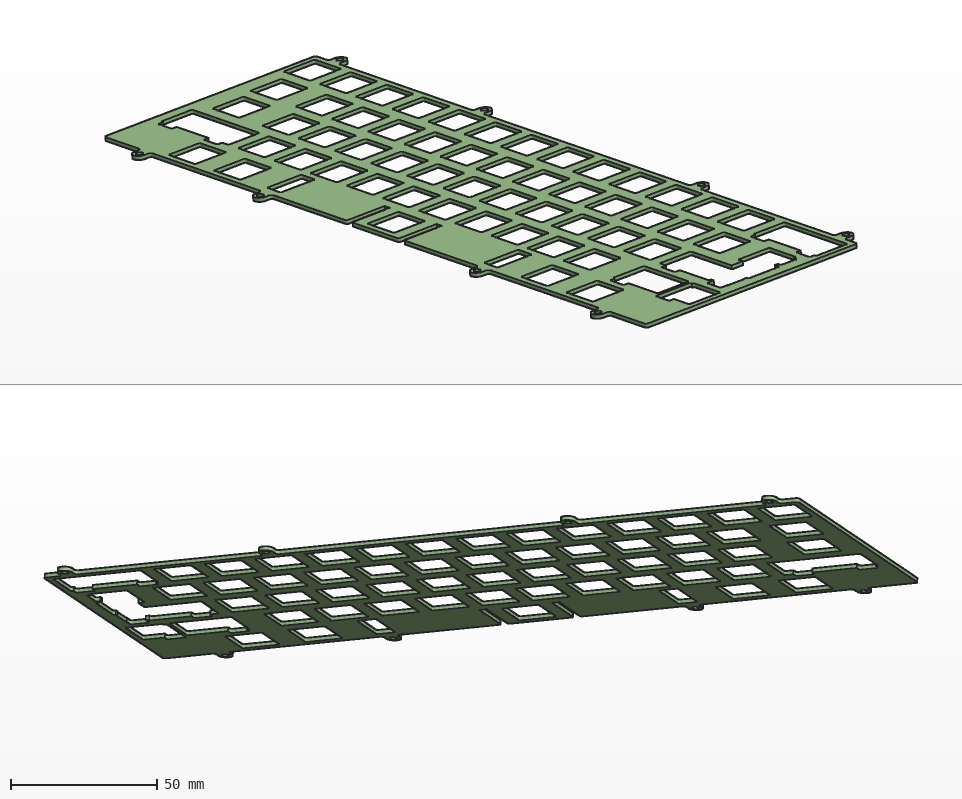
import cadquery as cq

plate_length = 285.8
columns = 15
rows = 5
key_unit = plate_length / columns
plate_width = rows * key_unit
plate_thickness = 1.5
plate_corner_radius = 1.0
tilt_angle = 6.0

switch_side = 14.0
cut_corner_radius = 0.5

stabilizer_width = 7.1
stabilizer_depth = 15.5
stabilizer_shift = 1.5
stabilizer_spacing = 12.0
spacebar_spacing = 3 * key_unit

slot_width = 2.5
slot_offset = 13.7
slot_depth = 17.1
slot_mouth_radius = 1.0

tab_radius = 2.5
tab_reach = 3.0
tab_hole_diameter = 2.5
tab_root_radius = 1.1
rear_tab_positions = [7 * key_unit, 3 * key_unit]
front_tab_positions = [121.0, 3 * key_unit]

tab_key = 3 / 2
caps_key = 7 / 4
left_shift_key = 9 / 4
right_shift_key = 11 / 4
split_shift_key = 5 / 4
ansi_enter_key = 9 / 4
iso_enter_key = 5 / 4
backspace_key = 2
modifier_key = 3 / 2

backspace = columns - backspace_key / 2
split_backspace = [backspace - 0.5, backspace + 0.5]
backslash = columns - tab_key / 2
iso_enter = columns - iso_enter_key / 2
ansi_enter = columns - ansi_enter_key / 2
iso_hash = columns - ansi_enter_key + 0.5
left_shift = left_shift_key / 2
split_left_shift = [split_shift_key / 2, split_shift_key + 0.5]
right_shift = columns - right_shift_key / 2
split_right_shift = columns - right_shift_key + (right_shift_key - 1) / 2
function_key = columns - 0.5
spacebar = columns / 2


def key_run(left_edge, count):
    """Centres of a run of keys one unit wide that starts at left_edge."""
    return [left_edge + 0.5 + i for i in range(count)]


space_row_left = [modifier_key + 0.5, modifier_key + 1 + modifier_key / 2]
space_row_right = [columns - centre for centre in space_row_left]
single_keys = [
    key_run(0, 13),
    [tab_key / 2] + key_run(tab_key, 12),
    [caps_key / 2] + key_run(caps_key, 11),
    key_run(left_shift_key, 10),
    space_row_left + [spacebar] + space_row_right,
]
number_row, tab_row, home_row, shift_row, space_row = range(rows)


def key_x(column):
    return (column - columns / 2) * key_unit


def key_y(row):
    return ((rows - 1) / 2 - row) * key_unit


def block(x, y, size_x, size_y):
    """Rectangular block through the plate thickness, centred at x, y."""
    return cq.Workplane("XY").center(x, y).rect(size_x, size_y).extrude(plate_thickness)


def cutter(x, y, size_x, size_y):
    """Rounded rectangular cutter, centred at x, y."""
    return block(x, y, size_x, size_y).edges("|Z").fillet(cut_corner_radius)


def wide_switch(first, last, row):
    """Cutter for a switch that can sit anywhere between two key centres of a row."""
    length = (last - first) * key_unit + switch_side
    return cutter(key_x((first + last) / 2), key_y(row), length, switch_side)


def stabilizer_pair(column, row, spacing=stabilizer_spacing, shift=-stabilizer_shift):
    """Cutters for the stabilizers on the left and right of a key."""
    return [
        cutter(key_x(column) + side * spacing, key_y(row) + shift, stabilizer_width, stabilizer_depth)
        for side in (-1, 1)
    ]


def iso_enter_cutters():
    """Tall enter key: its switch sits between two rows and its stabilizers lie front and rear."""
    x = key_x(iso_enter)
    y = key_y((tab_row + home_row) / 2)
    cutters = [cutter(x, y, switch_side, switch_side)]
    for side in (-1, 1):
        stabilizer_y = y + side * stabilizer_spacing
        cutters.append(cutter(x - stabilizer_shift, stabilizer_y, stabilizer_depth, stabilizer_width))
    scrap_x = key_x(ansi_enter) + switch_side / 2
    cutters.append(block(scrap_x, key_y(home_row), stabilizer_width, switch_side / 2))
    return cutters


def wide_key_cutters():
    cutters = [
        wide_switch(*split_backspace, number_row),
        wide_switch(backslash, backslash, tab_row),
        wide_switch(iso_hash, ansi_enter, home_row),
        wide_switch(*split_left_shift, shift_row),
        wide_switch(split_right_shift, right_shift, shift_row),
        wide_switch(function_key, function_key, shift_row),
    ]
    cutters += iso_enter_cutters()
    cutters += stabilizer_pair(backspace, number_row)
    cutters += stabilizer_pair(ansi_enter, home_row)
    cutters += stabilizer_pair(left_shift, shift_row)
    cutters += stabilizer_pair(right_shift, shift_row)
    cutters += stabilizer_pair(spacebar, space_row, spacebar_spacing, stabilizer_shift)
    return cutters


def tab(x, side):
    """Round-ended tab on the rear (side = 1) or front (side = -1) edge."""
    edge_y = side * plate_width / 2
    hole_y = edge_y + side * tab_reach
    neck = block(x, edge_y, 2 * tab_radius, 2 * tab_reach)
    end = cq.Workplane("XY").center(x, hole_y).circle(tab_radius).extrude(plate_thickness)
    return neck.union(end)


def tab_hole(x, side):
    hole_y = side * (plate_width / 2 + tab_reach)
    return cq.Workplane("XY").center(x, hole_y).circle(tab_hole_diameter / 2).extrude(plate_thickness)


tabs = [(sign * x, 1) for x in rear_tab_positions for sign in (-1, 1)]
tabs += [(sign * x, -1) for x in front_tab_positions for sign in (-1, 1)]

plate = block(0, 0, plate_length, plate_width).edges("|Z").fillet(plate_corner_radius)
for x, side in tabs:
    plate = plate.union(tab(x, side))

for x, side in tabs:
    edge_y = side * plate_width / 2
    for sign in (-1, 1):
        root = (x + sign * tab_radius, edge_y, plate_thickness / 2)
        plate = plate.edges(cq.selectors.NearestToPointSelector(root)).fillet(tab_root_radius)

front_y = -plate_width / 2
for sign in (-1, 1):
    slot_x = sign * slot_offset
    plate = plate.cut(block(slot_x, front_y, slot_width, 2 * slot_depth))
    for wall in (-1, 1):
        mouth = (slot_x + wall * slot_width / 2, front_y, plate_thickness / 2)
        plate = plate.edges(cq.selectors.NearestToPointSelector(mouth)).fillet(slot_mouth_radius)

cutters = [
    wide_switch(column, column, row)
    for row, key_columns in enumerate(single_keys)
    for column in key_columns
]
cutters += wide_key_cutters()
cutters += [tab_hole(x, side) for x, side in tabs]
plate = plate.newObject([plate.val().cut(*[tool.val() for tool in cutters])])

result = plate.rotate((0, 0, 0), (1, 0, 0), tilt_angle)